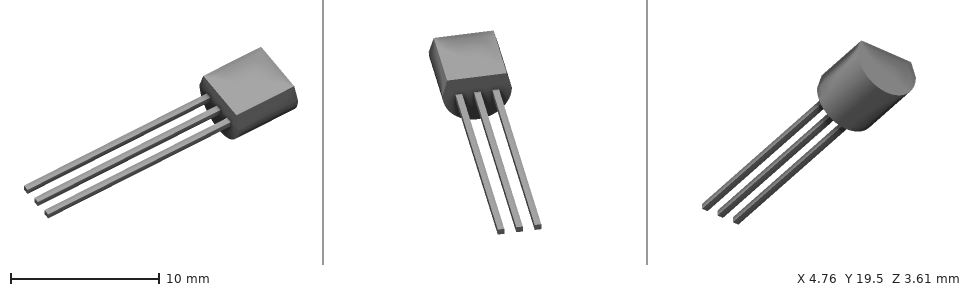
import cadquery as cq
import math

total_length = 19.52
body_width = 4.76
body_height = 3.61

body_length = 4.82
body_radius = body_width / 2
cap_height = body_height - body_radius
side_draft = 15.0
end_draft = 4.0

lead_count = 3
lead_pitch = 1.27
lead_width = 0.45
lead_thickness = 0.43
lead_length = total_length - body_length


def make_half_cylinder():
    """Round lower half of the body, flat side up at Z = 0, front end at Y = 0."""
    return (
        cq.Workplane("XZ")
        .moveTo(-body_radius, 0)
        .threePointArc((0, -body_radius), (body_radius, 0))
        .close()
        .extrude(-body_length)
    )


def make_cap():
    """Upper block that narrows towards its flat top."""
    top_width = body_width - 2 * cap_height * math.tan(math.radians(side_draft))
    top_length = body_length - 2 * cap_height * math.tan(math.radians(end_draft))
    return (
        cq.Workplane("XY")
        .center(0, body_length / 2)
        .rect(body_width, body_length)
        .workplane(offset=cap_height)
        .rect(top_width, top_length)
        .loft(ruled=True)
    )


def make_lead(x_center):
    """One lead running from the front end of the body, its top face at Z = 0."""
    return (
        cq.Workplane("XZ")
        .center(x_center, -lead_thickness / 2)
        .rect(lead_width, lead_thickness)
        .extrude(lead_length)
    )


result = make_half_cylinder().union(make_cap())
for index in range(lead_count):
    offset_from_middle = index - (lead_count - 1) / 2
    result = result.union(make_lead(offset_from_middle * lead_pitch))